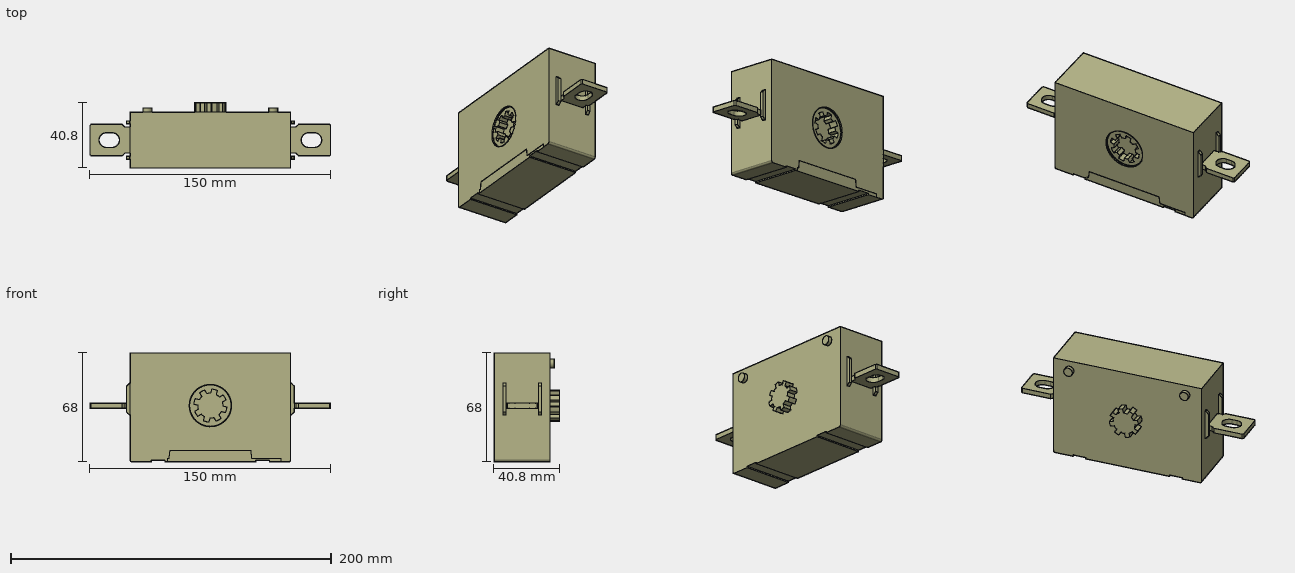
import cadquery as cq

total_length = 150
body_length = 100.0
body_depth = 35.0
body_height = 68.0
bottom_edge_fillet = 1.2

foot_groove_offset = 32.5
foot_groove_width = 8.4
foot_groove_depth = 0.9

dial_height = 35.1
dial_recess_radius = 13.2
dial_disc_radius = 12.9
dial_recess_depth = 0.8
dial_gap_depth = 1.5
lobe_count = 8
lobe_tilt = 15
lobe_width = 3.6
socket_tip_radius = 10.4
socket_root_radius = 7.8
socket_depth = 6
spline_clearance = 0.5
spline_length = 5.8

peg_offset = 39.2
peg_drop = 6.6
peg_diameter = 5.8
peg_length = 2.5

terminal_height = 35.0
terminal_thickness = 3.3
terminal_width = 19.8
terminal_neck_width = 16.4
terminal_head_length = 20.0
terminal_shoulder = 1.8
terminal_corner = 0.8
slot_length = 12.6
slot_width = 9
slot_from_tip = 12

rib_spacing = 22.0
rib_thickness = 2.0
rib_height = 19.8
rib_bottom = 29.2
rib_projection = 2.2
rib_chamfer = 1.8

clip_top = 7.2
clip_shoulder = 2.2
clip_top_width = 50.4
clip_shoulder_width = 51.6
clip_left_end = -26.8
clip_right_end = 44.0
clip_depth = 0.2

half_body = body_length / 2
mid_depth = body_depth / 2


def make_housing():
    housing = cq.Workplane("XY").box(body_length, body_depth, body_height, centered=(True, False, False))
    housing = housing.edges("|Y and <Z").fillet(bottom_edge_fillet)
    for side in (-1, 1):
        groove = cq.Workplane("XY").box(
            foot_groove_width, body_depth, foot_groove_depth, centered=(True, False, False)
        )
        housing = housing.cut(groove.translate((side * foot_groove_offset, 0, 0)))
    return housing


def lobed_prism(tip_radius, root_radius, width, length):
    """Splined prism on the dial axis, running from Y = 0 to Y = length."""
    plane = cq.Workplane("XZ")
    prism = plane.circle(root_radius).extrude(-length)
    lobe = plane.center(0, tip_radius / 2).rect(width, tip_radius).extrude(-length)
    for i in range(lobe_count):
        angle = lobe_tilt + i * 360 / lobe_count
        prism = prism.union(lobe.rotate((0, 0, 0), (0, 1, 0), angle))
    prism = prism.intersect(plane.circle(tip_radius).extrude(-length))
    return prism.translate((0, 0, dial_height))


def make_dial_cut():
    plane = cq.Workplane("XZ").center(0, dial_height)
    recess = plane.circle(dial_recess_radius).extrude(-dial_recess_depth)
    gap = plane.circle(dial_recess_radius).circle(dial_disc_radius).extrude(-dial_gap_depth)
    socket = lobed_prism(socket_tip_radius, socket_root_radius, lobe_width, socket_depth)
    return recess.union(gap).union(socket.translate((0, dial_recess_depth, 0)))


def make_spline():
    spline = lobed_prism(
        socket_tip_radius - spline_clearance,
        socket_root_radius - spline_clearance,
        lobe_width - spline_clearance,
        spline_length,
    )
    return spline.translate((0, body_depth, 0))


def make_pegs():
    return (
        cq.Workplane("XZ", origin=(0, body_depth, body_height - peg_drop))
        .pushPoints([(-peg_offset, 0), (peg_offset, 0)])
        .circle(peg_diameter / 2)
        .extrude(-peg_length)
    )


def make_terminal():
    """Terminal on the +X end."""
    tip = total_length / 2
    head_start = tip - terminal_head_length
    neck_end = head_start - terminal_shoulder
    half_head = terminal_width / 2
    half_neck = terminal_neck_width / 2
    plane = cq.Workplane("XY", origin=(0, mid_depth, terminal_height - terminal_thickness / 2))
    blade = (
        plane.moveTo(half_body, -half_neck)
        .lineTo(neck_end, -half_neck)
        .lineTo(head_start, -half_head)
        .lineTo(tip, -half_head)
        .lineTo(tip, half_head)
        .lineTo(head_start, half_head)
        .lineTo(neck_end, half_neck)
        .lineTo(half_body, half_neck)
        .close()
        .extrude(terminal_thickness)
    )
    blade = blade.edges("|Z and >X").chamfer(terminal_corner)
    slot = plane.center(tip - slot_from_tip, 0).slot2D(slot_length, slot_width).extrude(terminal_thickness)
    return blade.cut(slot)


def make_ribs():
    """Pair of guide ribs on the +X end."""
    ribs = (
        cq.Workplane("YZ", origin=(half_body, mid_depth, rib_bottom + rib_height / 2))
        .pushPoints([(-rib_spacing / 2, 0), (rib_spacing / 2, 0)])
        .rect(rib_thickness, rib_height)
        .extrude(rib_projection)
    )
    return ribs.faces(">X").edges("|Y").chamfer(rib_chamfer)


def make_clip_recess():
    return (
        cq.Workplane("XZ")
        .moveTo(clip_left_end, 0)
        .lineTo(clip_right_end, 0)
        .lineTo(clip_right_end, clip_shoulder)
        .lineTo(clip_shoulder_width / 2, clip_shoulder)
        .lineTo(clip_top_width / 2, clip_top)
        .lineTo(-clip_top_width / 2, clip_top)
        .lineTo(-clip_shoulder_width / 2, clip_shoulder)
        .lineTo(clip_left_end, clip_shoulder)
        .close()
        .extrude(-clip_depth)
    )


end_fittings = make_terminal().union(make_ribs())

result = (
    make_housing()
    .cut(make_dial_cut())
    .cut(make_clip_recess())
    .union(make_spline())
    .union(make_pegs())
    .union(end_fittings)
    .union(end_fittings.mirror("YZ"))
)